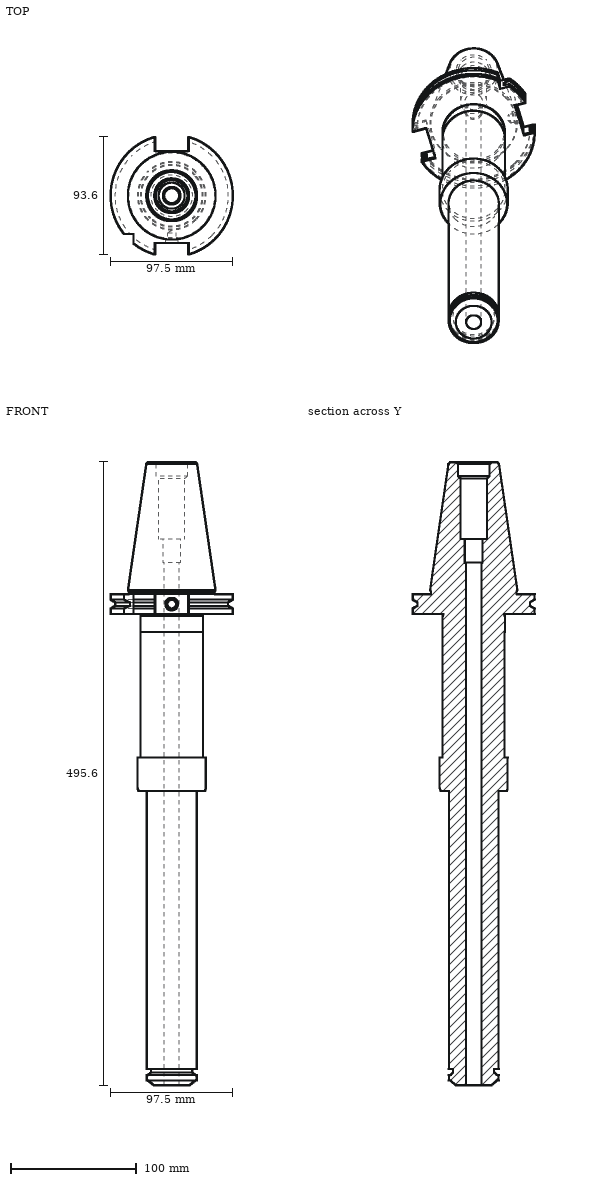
import cadquery as cq
import math


gauge_diameter = 69.85
taper_length = 101.75
taper_ratio = 7 / 24
taper_small_diameter = gauge_diameter - taper_length * taper_ratio
taper_chamfer_width = 1.2
taper_chamfer_height = 1.5

flange_diameter = 97.5
rim_radius = flange_diameter / 2
flange_top = -3.2
flange_bottom = -19.1
groove_centre = (flange_top + flange_bottom) / 2
groove_floor_diameter = 90
groove_mouth_height = 7
groove_flank_angle = 30

keyway_width = 25.7
half_key = keyway_width / 2
front_keyway_floor = 37.7
back_keyway_floor = 35.5
wall_chamfer = 0.8
selection_margin = 0.1
notch_offset = 30.5

pocket_diameter = 10
pocket_depth = 4.6
drill_diameter = 7
drill_depth = 8
drill_tip_angle = 118

overall_length = 495.6
bottom = taper_length - overall_length
neck_diameter = 50
neck_undercut_diameter = 48.38
neck_end = -33.5
sleeve_diameter = 49.8
collar_diameter = 54.5
collar_top = -133
collar_bottom = -160
collar_chamfer_width = 0.7
collar_chamfer_height = 2.5
shaft_diameter = 40

undercut_depth = (neck_diameter - neck_undercut_diameter) / 2
undercut_height = 1.5

body_end = -381
nose_groove_diameter = 33
nose_ring_diameter = 40
nose_cone_height = 2
nose_ring_top = -385.7
nose_ring_bottom = -390
nose_face_diameter = 38
nose_end_diameter = 28.5

mouth_diameter = 25
mouth_depth = 11
mouth_chamfer = 1.4
thread_bore_diameter = 20.75
thread_bore_depth = 61
step_bore_diameter = 14
step_bore_depth = 80
through_bore_diameter = 12


def revolved(profile):
    """Solid made by spinning a closed outline of (radius, height) points about the Z axis."""
    return cq.Workplane("XZ").polyline(profile).close().revolve(360, (0, 0), (0, 1))


def flange_profile():
    """Radius and height pairs of the flange rim, with its trapezoidal gripper groove."""
    floor = groove_floor_diameter / 2
    mouth_half = groove_mouth_height / 2
    floor_half = mouth_half - (rim_radius - floor) * math.tan(math.radians(groove_flank_angle))
    return [
        (rim_radius, flange_top),
        (rim_radius, groove_centre + mouth_half),
        (floor, groove_centre + floor_half),
        (floor, groove_centre - floor_half),
        (rim_radius, groove_centre - mouth_half),
        (rim_radius, flange_bottom),
    ]


def turned_body():
    """Solid of revolution: taper, flange, neck, collar, shaft and nose."""
    chamfer_start = taper_length - taper_chamfer_height
    chamfer_start_radius = (gauge_diameter - chamfer_start * taper_ratio) / 2
    profile = [
        (0, taper_length),
        (taper_small_diameter / 2 - taper_chamfer_width, taper_length),
        (chamfer_start_radius, chamfer_start),
        (gauge_diameter / 2, 0),
        (gauge_diameter / 2 - undercut_depth, -undercut_height),
        (gauge_diameter / 2 - undercut_depth, flange_top),
        *flange_profile(),
        (neck_undercut_diameter / 2, flange_bottom),
        (neck_diameter / 2, flange_bottom - undercut_height),
        (neck_diameter / 2, neck_end),
        (sleeve_diameter / 2, neck_end),
        (sleeve_diameter / 2, collar_top),
        (collar_diameter / 2, collar_top),
        (collar_diameter / 2, collar_bottom + collar_chamfer_height),
        (collar_diameter / 2 - collar_chamfer_width, collar_bottom),
        (shaft_diameter / 2, collar_bottom),
        (shaft_diameter / 2, body_end),
        (nose_groove_diameter / 2, body_end),
        (nose_groove_diameter / 2, nose_ring_top + nose_cone_height),
        (nose_face_diameter / 2, nose_ring_top),
        (nose_ring_diameter / 2, nose_ring_top),
        (nose_ring_diameter / 2, nose_ring_bottom),
        (nose_face_diameter / 2, nose_ring_bottom),
        (nose_end_diameter / 2, bottom),
        (0, bottom),
    ]
    return revolved(profile)


def flange_cutter(x_min, x_max, y_min, y_max):
    """Block through the full flange thickness between the given X and Y limits."""
    height = flange_top - flange_bottom
    block = cq.Workplane("XY").box(x_max - x_min, y_max - y_min, height, centered=False)
    return block.translate((x_min, y_min, flange_bottom))


def stepped_bore():
    """Vertical bore open at both ends, narrowing downwards from the taper's small end."""
    mouth = mouth_diameter / 2
    thread = thread_bore_diameter / 2
    step = step_bore_diameter / 2
    through = through_bore_diameter / 2
    seat = taper_length - mouth_depth
    thread_end = taper_length - thread_bore_depth
    step_end = taper_length - step_bore_depth
    profile = [
        (0, taper_length),
        (mouth + mouth_chamfer, taper_length),
        (mouth, taper_length - mouth_chamfer),
        (mouth, seat),
        (thread, seat - (mouth - thread)),
        (thread, thread_end),
        (step, thread_end),
        (step, step_end),
        (through, step_end),
        (through, bottom),
        (0, bottom),
    ]
    return revolved(profile)


def keyway_pocket():
    """Round counterbore and drilled hole with a conical tip, entering the front keyway floor along +Y."""
    drill = drill_diameter / 2
    tip_height = drill / math.tan(math.radians(drill_tip_angle / 2))
    profile = [
        (0, 0),
        (pocket_diameter / 2, 0),
        (pocket_diameter / 2, pocket_depth),
        (drill, pocket_depth),
        (drill, drill_depth),
        (0, drill_depth + tip_height),
    ]
    pocket = cq.Workplane("XY").polyline(profile).close().revolve(360, (0, 0), (0, 1))
    return pocket.translate((0, -front_keyway_floor, groove_centre))


def wall_edges(x_min, x_max, y_min, y_max):
    """Selector for the flange edges whose centres lie between the given X and Y limits."""
    return cq.selectors.BoxSelector(
        (x_min, y_min, flange_bottom - selection_margin),
        (x_max, y_max, flange_top + selection_margin),
    )


def chamfer_keyway_walls(body):
    """Chamfer the rim edges of each keyway wall, leaving their inner corners sharp."""
    gap = selection_margin
    outside = rim_radius + gap
    for side in (-half_key, half_key):
        front_wall = wall_edges(side - gap, side + gap, -outside, -front_keyway_floor - gap)
        back_wall = wall_edges(side - gap, side + gap, back_keyway_floor + gap, outside)
        body = body.edges(front_wall).chamfer(wall_chamfer)
        body = body.edges(back_wall).chamfer(wall_chamfer)
    return body


slotted_body = (
    turned_body()
    .cut(flange_cutter(-half_key, half_key, -rim_radius, -front_keyway_floor))
    .cut(flange_cutter(-half_key, half_key, back_keyway_floor, rim_radius))
    .cut(flange_cutter(-rim_radius, -notch_offset, -rim_radius, -notch_offset))
)

result = chamfer_keyway_walls(slotted_body).cut(keyway_pocket()).cut(stepped_bore())